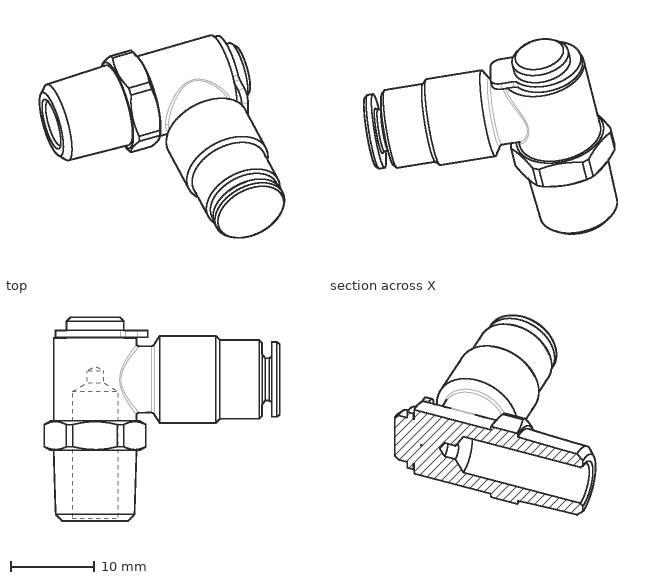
import cadquery as cq
import math


body_radius = 10.0 / 2
thread_taper = 1 / 16
thread_length = 8.5
thread_chamfer = 0.8
thread_tip_radius = body_radius - thread_taper / 2 * (thread_length - thread_chamfer)

hex_across_flats = 11.0
hex_corner_radius = 6.1
hex_chamfer_radius = 5.35
hex_thickness = 3.55
hex_top = thread_length + hex_thickness
hex_chamfer_angle = math.radians(30)
hex_chamfer_height = (hex_corner_radius - hex_chamfer_radius) * math.tan(hex_chamfer_angle)

body_top = 22.0
clip_bottom = 22.07
clip_thickness = 0.82
clip_top = clip_bottom + clip_thickness
clip_radius = 4.4
clip_center_x = -0.4
lug_tip_x = 6.35
lug_width = 4.92
lug_corner_radius = 1.25
lug_root_radius = 0.74
knob_radius = 6.93 / 2
knob_top = 24.5
knob_chamfer = 0.5

bore_radius = 2.75
bore_chamfer = 0.35
bore_depth = 15.56
pilot_radius = 2.0 / 2
pilot_length = 1.42
drill_half_angle = math.radians(59)

arm_y = 17.0
overall_length = 28.3
arm_end_x = overall_length - hex_corner_radius
neck_radius = 8.0 / 2
neck_fillet = 0.28
cove_start_x = 6.74
cove_radius = 0.4
sleeve_radius = 10.5 / 2
sleeve_start_x = 7.75
sleeve_cone_angle = math.radians(60)
sleeve_end_x = 15.0
holder_radius = 4.75
holder_end_x = 20.06
holder_chamfer = 0.37
mouth_radius = 3.05
mouth_chamfer_length = 0.37
throat_radius = 2.55
collar_root_length = 0.28
collar_root_height = 0.2
collar_radius = 4.5
collar_face_radius = 4.25
collar_thickness = 1.0
collar_chamfer_length = 0.35
collar_start_x = arm_end_x - collar_thickness


def revolve_about_y(points):
    """Revolve a closed (radius, y) outline about the body axis."""
    return cq.Workplane("XY").polyline(points).close().revolve(360, (0, 0), (0, 1))


def cylinder_along_y(radius, start, end, x=0):
    return cq.Workplane("XZ", origin=(x, start, 0)).circle(radius).extrude(start - end)


def make_body():
    return revolve_about_y([
        (0, 0),
        (thread_tip_radius - thread_chamfer, 0),
        (thread_tip_radius, thread_chamfer),
        (body_radius, thread_length),
        (body_radius, body_top),
        (0, body_top),
    ])


def make_hexagon():
    """Hexagon with rounded corners and a 30 degree chamfer on both faces."""
    prism = (
        cq.Workplane("XZ", origin=(0, thread_length, 0))
        .polygon(6, hex_across_flats / math.cos(math.pi / 6))
        .extrude(-hex_thickness)
    )
    envelope = revolve_about_y([
        (0, thread_length),
        (hex_chamfer_radius, thread_length),
        (hex_corner_radius, thread_length + hex_chamfer_height),
        (hex_corner_radius, hex_top - hex_chamfer_height),
        (hex_chamfer_radius, hex_top),
        (0, hex_top),
    ])
    return prism.intersect(envelope)


def make_knob():
    knob = cylinder_along_y(knob_radius, body_top, knob_top)
    return knob.faces(">Y").chamfer(knob_chamfer)


def make_clip():
    """Flat eccentric ring with a round-cornered lug reaching out toward +X."""
    disc = cylinder_along_y(clip_radius, clip_bottom, clip_top, clip_center_x)
    lug = (
        cq.Workplane("XY", origin=(0, clip_bottom, 0))
        .box(lug_tip_x, clip_thickness, lug_width, centered=(False, False, True))
        .edges("|Y and >X")
        .fillet(lug_corner_radius)
    )
    lug_root = cq.selectors.BoxSelector(
        (0, body_top, -clip_radius),
        (clip_radius + clip_center_x, knob_top, clip_radius),
    )
    return disc.union(lug).edges("|Y").edges(lug_root).fillet(lug_root_radius)


def make_arm():
    """Neck, sleeve, tube holder and release collar, revolved about the arm axis."""
    def cove_point(turn):
        return (
            cove_start_x + cove_radius * math.sin(turn),
            neck_radius + cove_radius * (1 - math.cos(turn)),
        )

    cove_end = cove_point(sleeve_cone_angle)
    profile = (
        cq.Workplane("XY")
        .lineTo(0, neck_radius)
        .lineTo(cove_start_x, neck_radius)
        .threePointArc(cove_point(sleeve_cone_angle / 2), cove_end)
        .lineTo(sleeve_start_x, sleeve_radius)
        .lineTo(sleeve_end_x - (sleeve_radius - holder_radius), sleeve_radius)
        .lineTo(sleeve_end_x, holder_radius)
        .lineTo(holder_end_x - holder_chamfer, holder_radius)
        .lineTo(holder_end_x, holder_radius - holder_chamfer)
        .lineTo(holder_end_x, mouth_radius)
        .lineTo(holder_end_x + mouth_chamfer_length, throat_radius)
        .lineTo(collar_start_x - collar_root_length, throat_radius)
        .lineTo(collar_start_x, throat_radius + collar_root_height)
        .lineTo(collar_start_x, collar_radius)
        .lineTo(arm_end_x - collar_chamfer_length, collar_radius)
        .lineTo(arm_end_x, collar_face_radius)
        .lineTo(arm_end_x, 0)
        .close()
    )
    return profile.revolve(360, (0, 0), (1, 0)).translate((0, arm_y, 0))


def make_bore():
    """Chamfered drilled bore ending in a small pilot hole with a drill point."""
    funnel_end = bore_depth + (bore_radius - pilot_radius) / math.tan(drill_half_angle)
    pilot_end = funnel_end + pilot_length
    pilot_tip = pilot_end + pilot_radius / math.tan(drill_half_angle)
    return revolve_about_y([
        (0, 0),
        (bore_radius + bore_chamfer, 0),
        (bore_radius, bore_chamfer),
        (bore_radius, bore_depth),
        (pilot_radius, funnel_end),
        (pilot_radius, pilot_end),
        (0, pilot_tip),
    ])


body_and_arm = make_body().union(make_arm())
neck_joint = cq.selectors.BoxSelector(
    (0, arm_y - body_radius, -body_radius),
    (cove_start_x, arm_y + body_radius, body_radius),
    boundingbox=True,
)
result = (
    body_and_arm.edges(neck_joint).fillet(neck_fillet)
    .union(make_hexagon())
    .union(make_knob())
    .union(make_clip())
    .cut(make_bore())
)